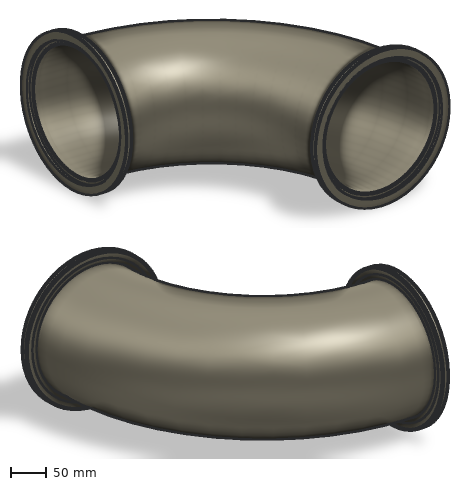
import cadquery as cq

OVERALL = 431.0

FLANGE_DIAMETER = 240.0
FLANGE_THICKNESS = 11.0
SEAL_RECESS_DIAMETER = 213.0
SEAL_RECESS_DEPTH = 5.0
BORE_DIAMETER = 200.0
LIP_THICKNESS = 1.7
SOCKET_DIAMETER = 204.0
CLAMP_GROOVE_INNER_DIAMETER = 218.0
CLAMP_GROOVE_OUTER_DIAMETER = 235.0
CLAMP_GROOVE_DEPTH = 1.0
RIM_GROOVE_RADIUS = 3.0
RIM_GROOVE_DEPTH = 2.0

TUBE_OUTER_DIAMETER = 203.0
TUBE_INNER_DIAMETER = 197.0
BEND_START_DEPTH = 17.2

AXIS_TO_FACE = OVERALL - FLANGE_DIAMETER / 2
BEND_RADIUS = AXIS_TO_FACE - BEND_START_DEPTH
SEAT_DEPTH = SEAL_RECESS_DEPTH + LIP_THICKNESS
STRAIGHT_LENGTH = BEND_START_DEPTH - SEAT_DEPTH


def make_flange():
    """Flange with its face at Z = 0 and its back toward +Z."""
    flange = cq.Workplane("XY").circle(FLANGE_DIAMETER / 2).extrude(FLANGE_THICKNESS)
    bore = cq.Workplane("XY").circle(BORE_DIAMETER / 2).extrude(FLANGE_THICKNESS)
    seal_recess = cq.Workplane("XY").circle(SEAL_RECESS_DIAMETER / 2).extrude(SEAL_RECESS_DEPTH)
    socket = (
        cq.Workplane("XY", origin=(0, 0, SEAT_DEPTH))
        .circle(SOCKET_DIAMETER / 2)
        .extrude(FLANGE_THICKNESS - SEAT_DEPTH)
    )
    clamp_groove = (
        cq.Workplane("XY", origin=(0, 0, FLANGE_THICKNESS - CLAMP_GROOVE_DEPTH))
        .circle(CLAMP_GROOVE_OUTER_DIAMETER / 2)
        .circle(CLAMP_GROOVE_INNER_DIAMETER / 2)
        .extrude(CLAMP_GROOVE_DEPTH)
    )
    groove_centre_radius = FLANGE_DIAMETER / 2 - RIM_GROOVE_DEPTH + RIM_GROOVE_RADIUS
    rim_groove = (
        cq.Workplane("XZ")
        .center(groove_centre_radius, FLANGE_THICKNESS / 2)
        .circle(RIM_GROOVE_RADIUS)
        .revolve(360, (-groove_centre_radius, 0), (-groove_centre_radius, 1))
    )
    return flange.cut(bore).cut(seal_recess).cut(socket).cut(clamp_groove).cut(rim_groove)


def make_elbow():
    """Tube with a quarter bend and a short straight end seated in each flange."""
    centre_line = (
        cq.Workplane("XY")
        .moveTo(0, SEAT_DEPTH)
        .line(0, STRAIGHT_LENGTH)
        .radiusArc((BEND_RADIUS, AXIS_TO_FACE), BEND_RADIUS)
        .line(STRAIGHT_LENGTH, 0)
    )
    return (
        cq.Workplane("XZ", origin=(0, SEAT_DEPTH, 0))
        .circle(TUBE_OUTER_DIAMETER / 2)
        .circle(TUBE_INNER_DIAMETER / 2)
        .sweep(centre_line)
    )


FLANGE_PLACES = [
    cq.Plane(origin=(0, 0, 0), xDir=(1, 0, 0), normal=(0, 1, 0)),
    cq.Plane(origin=(AXIS_TO_FACE, AXIS_TO_FACE, 0), xDir=(0, 1, 0), normal=(-1, 0, 0)),
]

elbow = make_elbow()
flanges = [make_flange().val().moved(cq.Location(place)) for place in FLANGE_PLACES]

result = cq.Compound.makeCompound([elbow.val(), *flanges])